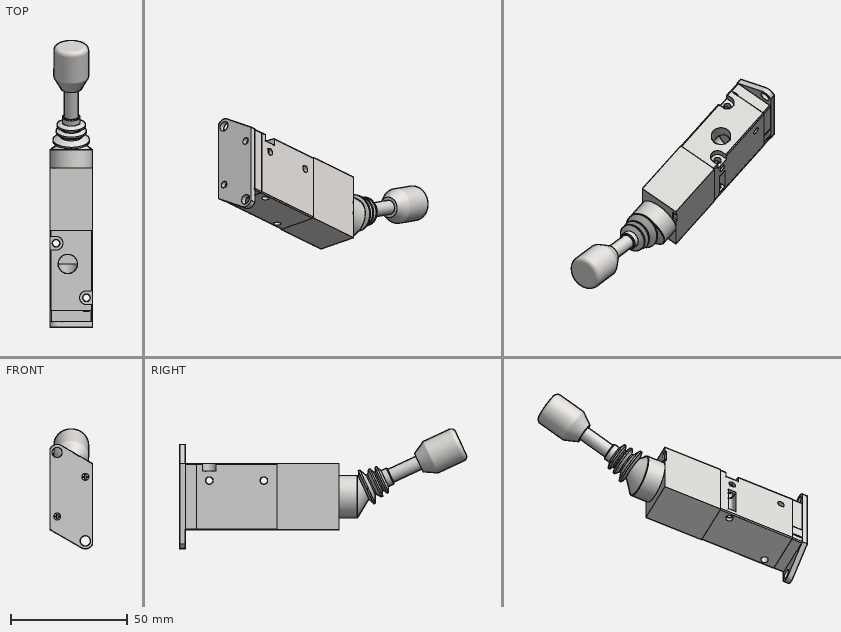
import cadquery as cq
import math


plate_thickness = 2.5
cap_end = 7.2
body_end = 41.8
housing_end = 68.7
collar_end = 76.7

valve_width = 18.4
valve_height = 28.7
valve_edge_chamfer = 0.5
collar_radius = valve_width / 2
collar_chamfer = 0.2

mount_hole_x = 6.0
mount_hole_z = 19.0
mount_hole_diameter = 4.3
plate_corner_radius = 3.5
plate_slant = math.radians(30)

screw_x = 6.0
screw_z = 8.5
head_diameter = 3.0
head_end = 4.3
cross_recess_length = 1.9
cross_recess_width = 0.5
cross_recess_depth = 0.6
shank_diameter = 2.0
screw_end = 10.5

rib_height = 5.9
rib_center_z = -8.4
rib_projection = 0.1
rib_bevel_height = 0.4
cap_notch_x = 6.4
cap_notch_width = 2.2
cap_notch_depth = 0.4

bolt_hole_diameter = 3.1
bolt_x = 6.5
bolt_y_positions = {-1: 36.2, 1: 12.7}
bolt_pocket_radius = 3.0
bolt_pocket_depth = 3.3
cross_hole_z = 6.9
slot_width = 3.7
slot_bottom = -11.8
slot_top = 2.4
port_x = -1.5
port_y = 27.3
port_diameter = 8.3
port_depth = 9.9

notch_bottom = 5.6
notch_height = 5.9
notch_length = 0.7
notch_depth = 1.9

lever_angle = 25
pivot_y = 71.6
rod_radius = 3.1
rod_start = 9.9
rod_end = 43.3
knob_start = 34.6
knob_shoulder = 40.2
knob_end = 54.7
knob_radius = 7.5
knob_neck_radius = 4.5
knob_shoulder_fillet = 1.2
knob_end_fillet = 2.1

boot_foot = 8.5
boot_foot_radius = 5.2
boot_sleeve_radius = 3.8
boot_sleeve_start = 18.4
boot_sleeve_end = 21.3
boot_sleeve_chamfer = 0.4
ring_rim_width = 0.7
boot_rings = [(9.9, 7.9), (14.1, 6.5), (17.1, 6.2)]
boot_groove_width = 0.6
boot_grooves = [(12.1, 4.7), (15.6, 4.5)]


def block(width, y_start, y_end, height):
    """Box centred on the valve axis between two stations along Y."""
    return cq.Workplane("XY").box(width, y_end - y_start, height).translate((0, (y_start + y_end) / 2, 0))


def y_cylinder(radius, x, z, y_start, y_end):
    """Cylinder along Y."""
    return cq.Workplane("XZ", origin=(x, y_start, z)).circle(radius).extrude(y_start - y_end)


def lever_plane(distance):
    """Plane square to the lever axis, at a distance from the pivot."""
    angle = math.radians(lever_angle)
    along = (0, math.cos(angle), math.sin(angle))
    origin = (0, pivot_y + distance * along[1], distance * along[2])
    return cq.Plane(origin=origin, xDir=(1, 0, 0), normal=along)


def turn_on_lever(profile):
    """Revolve a (radius, distance) profile about the lever axis."""
    base = lever_plane(0)
    half_plane = cq.Plane(origin=base.origin, xDir=base.xDir, normal=-base.yDir)
    return cq.Workplane(half_plane).polyline(profile).close().revolve(360, (0, 0), (0, 1))


def circle_on_lever(distance):
    """Selector of the circular edge centred on the lever axis at a distance from the pivot."""
    return cq.selectors.NearestToPointSelector(lever_plane(distance).origin.toTuple())


def make_plate():
    """Slanted mounting plate with a rounded corner around each mounting hole."""
    half_width = valve_width / 2
    top = mount_hole_z + plate_corner_radius
    left_rise = math.sqrt(plate_corner_radius**2 - (half_width - mount_hole_x) ** 2)
    tangent_x = -mount_hole_x + plate_corner_radius * math.sin(plate_slant)
    tangent_z = mount_hole_z + plate_corner_radius * math.cos(plate_slant)
    shoulder_z = tangent_z - (half_width - tangent_x) * math.tan(plate_slant)
    outline = (
        cq.Workplane("XZ")
        .moveTo(-half_width, mount_hole_z + left_rise)
        .threePointArc((-mount_hole_x, top), (tangent_x, tangent_z))
        .lineTo(half_width, shoulder_z)
        .lineTo(half_width, -mount_hole_z - left_rise)
        .threePointArc((mount_hole_x, -top), (-tangent_x, -tangent_z))
        .lineTo(-half_width, -shoulder_z)
        .close()
    )
    plate = outline.extrude(-plate_thickness)
    for side in (-1, 1):
        mount_radius = mount_hole_diameter / 2
        mount_hole = y_cylinder(mount_radius, side * mount_hole_x, -side * mount_hole_z, 0, plate_thickness)
        screw_hole = y_cylinder(head_diameter / 2, side * screw_x, side * screw_z, 0, plate_thickness)
        plate = plate.cut(mount_hole).cut(screw_hole)
    return plate


def screw_blank(side):
    """Screw without its cross recess: head flush with the cap face, shank running into the body."""
    x = side * screw_x
    z = side * screw_z
    head = y_cylinder(head_diameter / 2, x, z, plate_thickness, head_end)
    return head.union(y_cylinder(shank_diameter / 2, x, z, head_end, screw_end))


def make_screw(side):
    """Cross-recessed screw that holds the cap on the body, reached through the plate."""
    recess_end = plate_thickness + cross_recess_depth
    bar = block(cross_recess_length, plate_thickness, recess_end, cross_recess_width)
    cross = bar.union(bar.rotate((0, 0, 0), (0, 1, 0), 90))
    return screw_blank(side).cut(cross.translate((side * screw_x, 0, side * screw_z)))


def cut_screw_holes(solid):
    for side in (-1, 1):
        solid = solid.cut(screw_blank(side))
    return solid


def make_cap():
    """End cap between the plate and the body, with a chamfered rib on its -X side."""
    width = valve_width - 2 * rib_projection
    cap = block(width, plate_thickness, cap_end, valve_height).edges("|Y").chamfer(valve_edge_chamfer)
    outer = -valve_width / 2
    inner = -width / 2
    rib = (
        cq.Workplane("XZ", origin=(0, plate_thickness, rib_center_z))
        .moveTo(inner, -rib_height / 2)
        .lineTo(outer, rib_bevel_height - rib_height / 2)
        .lineTo(outer, rib_height / 2 - rib_bevel_height)
        .lineTo(inner, rib_height / 2)
        .close()
        .extrude(plate_thickness - cap_end)
    )
    cap = cap.union(rib)
    notch = block(cap_notch_width, cap_end - cap_notch_depth, cap_end, 2 * cap_notch_depth)
    cap = cap.cut(notch.translate((cap_notch_x, 0, valve_height / 2)))
    return cut_screw_holes(cap)


def cut_bolt_holes(body):
    """Vertical bolt hole with a head pocket open to the side, and a cross hole through X, on each side."""
    for side, y in bolt_y_positions.items():
        top = cq.Workplane("XY", origin=(side * bolt_x, y, valve_height / 2))
        pocket = top.circle(bolt_pocket_radius).extrude(-bolt_pocket_depth)
        mouth_outline = top.center(side * bolt_x / 2, 0).rect(bolt_x, 2 * bolt_pocket_radius)
        mouth = mouth_outline.extrude(-bolt_pocket_depth)
        hole = top.circle(bolt_hole_diameter / 2).extrude(-valve_height)
        cross_hole = (
            cq.Workplane("YZ", origin=(0, y, cross_hole_z))
            .circle(bolt_hole_diameter / 2)
            .extrude(valve_width, both=True)
        )
        body = body.cut(pocket).cut(mouth).cut(hole).cut(cross_hole)
    return body


def cut_side_slot(body):
    """Round-bottomed vertical slot in the -X side, on the axis of the bolt hole there."""
    base = cq.Workplane("XY", origin=(-bolt_x, bolt_y_positions[-1], slot_bottom))
    height = slot_top - slot_bottom
    floor = base.circle(slot_width / 2).extrude(height)
    mouth = base.center(-bolt_x / 2, 0).rect(bolt_x, slot_width).extrude(height)
    return body.cut(floor).cut(mouth)


def cut_port(body):
    """Round port in the top face, with a half-round channel in the -Y half of its floor."""
    radius = port_diameter / 2
    port = cq.Workplane("XY", origin=(port_x, port_y, valve_height / 2)).circle(radius).extrude(-port_depth)
    channel = y_cylinder(radius, port_x, valve_height / 2 - port_depth, port_y - radius, port_y)
    return body.cut(port).cut(channel)


def make_body():
    body = block(valve_width, cap_end, body_end, valve_height).edges("|Y").chamfer(valve_edge_chamfer)
    body = cut_bolt_holes(body)
    body = cut_side_slot(body)
    body = cut_port(body)
    return cut_screw_holes(body)


def make_housing():
    """Lever housing: a plain block with a round collar and a small notch beside the collar."""
    housing = block(valve_width, body_end, housing_end, valve_height)
    collar = y_cylinder(collar_radius, 0, 0, housing_end, collar_end).faces(">Y").chamfer(collar_chamfer)
    notch = block(2 * notch_depth, housing_end - notch_length, housing_end, notch_height)
    notch = notch.translate((-valve_width / 2, 0, notch_bottom + notch_height / 2))
    return housing.cut(notch).union(collar)


def make_boot():
    """Bellows on the collar: a skewed foot, three rings and a sleeve that grips the rod."""
    foot_ring = cq.Wire.makeCircle(boot_foot_radius, lever_plane(boot_foot).origin, lever_plane(0).zDir)
    collar_ring = cq.Wire.makeCircle(
        collar_radius - collar_chamfer, cq.Vector(0, collar_end, 0), cq.Vector(0, 1, 0)
    )
    foot = cq.Workplane(cq.Solid.makeLoft([collar_ring, foot_ring], True))

    bands = [(*ring, ring_rim_width) for ring in boot_rings]
    bands += [(*groove, boot_groove_width) for groove in boot_grooves]
    profile = [(0, boot_foot), (boot_foot_radius, boot_foot)]
    for position, radius, width in sorted(bands):
        profile.append((radius, position - width / 2))
        profile.append((radius, position + width / 2))
    profile.append((boot_sleeve_radius, boot_sleeve_start))
    profile.append((boot_sleeve_radius, boot_sleeve_end - boot_sleeve_chamfer))
    profile.append((boot_sleeve_radius - boot_sleeve_chamfer, boot_sleeve_end))
    profile.append((0, boot_sleeve_end))
    return foot.union(turn_on_lever(profile)).cut(make_rod())


def make_rod():
    return cq.Workplane(lever_plane(rod_start)).circle(rod_radius).extrude(rod_end - rod_start)


def make_knob():
    """Cylindrical grip with a conical neck, both ends of the grip rounded."""
    knob = turn_on_lever(
        [
            (0, knob_start),
            (knob_neck_radius, knob_start),
            (knob_radius, knob_shoulder),
            (knob_radius, knob_end),
            (0, knob_end),
        ]
    )
    knob = knob.edges(circle_on_lever(knob_end)).fillet(knob_end_fillet)
    knob = knob.edges(circle_on_lever(knob_shoulder)).fillet(knob_shoulder_fillet)
    return knob.cut(make_rod())


plate = make_plate()
screws = [make_screw(side) for side in (-1, 1)]
cap = make_cap()
body = make_body()
housing = make_housing()
boot = make_boot()
rod = make_rod()
knob = make_knob()

bodies = [plate, *screws, cap, body, housing, boot, rod, knob]
result = cq.Compound.makeCompound([part.val() for part in bodies])